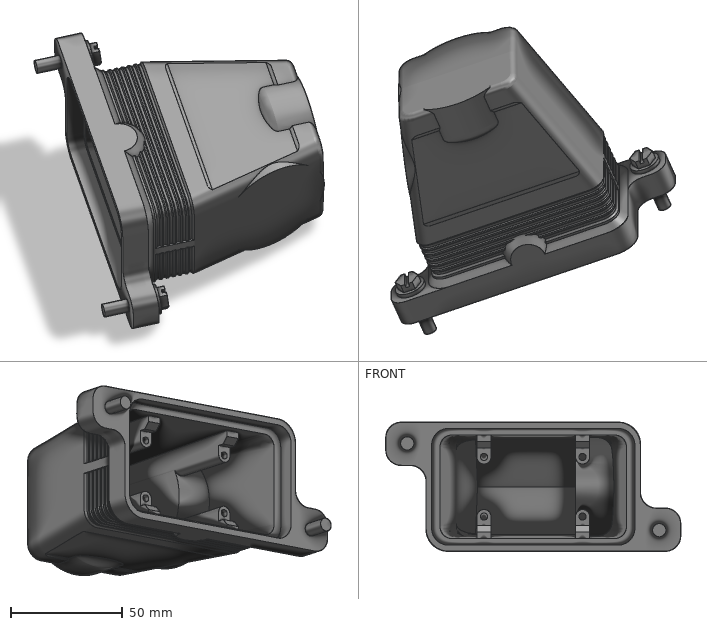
import cadquery as cq
import math


flange_length = 132.5
flange_height = 58.0
flange_body_width = 96.3
flange_depth = 11.9
flange_corner = 10.0
ear_height = 19.5
ear_corner = 7.0

hood_half_width = 45.2
hood_half_height = 26.4
hood_corner = 7.4
neck_end = 15.1
shoulder_y = 34.5
back_y = 99.8
back_half_width = 28.1
back_edge_fillet = 3.0
back_draft = 1.0
side_slope = (hood_half_width - back_half_width) / (back_y - shoulder_y)

panel_start = 43.0
panel_end = 89.0
panel_depth = 0.5
panel_ramp = 1.6

band_start = 16.2
band_end = 34.2
groove_count = 6
groove_floor = 1.2
groove_depth = 0.9
rib_drop = 0.4
grip_gap = 2.3

cable_boss_radius = flange_height / 2
cable_boss_start = 76.8
cable_boss_chamfer = 4.0
cable_boss_blend = 4.2
cable_boss_width = 31.8
side_pad_radius = 25.7
side_pad_y = 73.8
side_pad_inner_x = 19.1

pad_radius = 8.0

mouth_width = 91.3
mouth_height = 52.5
mouth_corner = 7.7
mouth_depth = 7.7
cavity_width = 83.7
cavity_height = 46.5
cavity_corner = 5.4
cavity_end = 92.2
cavity_end_width = 57.8
cavity_end_height = 42.4
cavity_taper_y = 61.0
cavity_taper_half_width = 34.2
cavity_back_draft = 10.0

post_x = 22.1
post_z = 13.4
post_radius = 3.2
post_hole_radius = 1.6
post_hole_depth = 8.0
post_front = 18.7
foot_front = 12.5
foot_top_z = 17.5
foot_chamfer = 2.9

screw_x = 56.6
screw_z = 19.5
shank_diameter = 6.0
shank_length = 11.4
washer_radius = 6.9
washer_thickness = 1.9
head_across_corners = 11.0
head_height = 3.8
slot_width = 1.7
slot_depth = 1.7


def plane_at(y):
    """Sketch plane across the hood at height y; a negative extrusion goes toward +Y."""
    return cq.Workplane("XZ", origin=(0, y, 0))


def rounded_rectangle(width, height, radius):
    return cq.Sketch().rect(width, height).vertices().fillet(radius)


def rounded_block(width, height, radius, start, end):
    return plane_at(start).placeSketch(rounded_rectangle(width, height, radius)).extrude(start - end)


def rounded_loft(first, second, start, end):
    """Loft between two (width, height, radius) rectangles lying across the hood at start and end."""
    offset = cq.Location(cq.Vector(0, 0, start - end))
    return (
        plane_at(start)
        .placeSketch(rounded_rectangle(*first), rounded_rectangle(*second).moved(offset))
        .loft()
    )


def x_prism(points, half_length):
    """Prism along X with a (y, z) outline."""
    return cq.Workplane("YZ").polyline(points).close().extrude(half_length, both=True)


def mirrored_z(shape):
    return shape.union(shape.mirror("XY"))


def make_flange():
    x_ear = flange_length / 2
    x_body = flange_body_width / 2
    z_top = flange_height / 2
    z_ear = z_top - ear_height
    half = [(-x_ear, z_top), (x_body, z_top), (x_body, -z_ear), (x_ear, -z_ear)]
    outline = half + [(-x, -z) for x, z in half]
    flange = plane_at(0).polyline(outline).close().extrude(-flange_depth)

    def is_body_corner(edge):
        center = edge.Center()
        return abs(center.x) < x_ear - 1.3 and abs(center.z) > z_top - 1.3

    flange = flange.edges("|Y").filter(lambda edge: not is_body_corner(edge)).fillet(ear_corner)
    return flange.edges("|Y").filter(is_body_corner).fillet(flange_corner)


def make_hood_prism(half_height):
    """Sharp-edged hood with its side taper and its back face drafted from the split plane."""
    outline = [
        (hood_half_width, flange_depth),
        (hood_half_width, shoulder_y),
        (back_half_width, back_y),
        (-back_half_width, back_y),
        (-hood_half_width, shoulder_y),
        (-hood_half_width, flange_depth),
    ]
    prism = cq.Workplane("XY").polyline(outline).close().extrude(half_height, both=True)
    drop = half_height * math.tan(math.radians(back_draft))
    keep = [
        (0, half_height),
        (back_y - drop, half_height),
        (back_y, 0),
        (back_y - drop, -half_height),
        (0, -half_height),
    ]
    return prism.intersect(x_prism(keep, hood_half_width))


def make_hood():
    hood = make_hood_prism(hood_half_height)

    def is_long_corner(edge):
        center = edge.Center()
        return abs(center.x) > back_half_width and abs(center.z) > hood_half_height - 0.1

    hood = hood.edges().filter(is_long_corner).fillet(hood_corner)

    def is_back_edge(edge):
        center = edge.Center()
        on_ridge = abs(center.x) < 0.1 and abs(center.z) < 0.1
        return center.y > back_y - 1.3 and not on_ridge

    return hood.edges().filter(is_back_edge).fillet(back_edge_fillet)


def make_panel_cut():
    floor_z = hood_half_height - panel_depth
    outline = [
        (panel_start, hood_half_height),
        (panel_start + panel_ramp, floor_z),
        (panel_end - panel_ramp, floor_z),
        (panel_end, hood_half_height),
    ]
    return mirrored_z(x_prism(outline, hood_half_width))


def make_neck():
    corner_growth = flange_body_width / 2 - hood_half_width
    base = (flange_body_width, flange_height, hood_corner + corner_growth)
    top = (2 * hood_half_width, 2 * hood_half_height, hood_corner)
    return rounded_loft(base, top, flange_depth, neck_end)


def make_grip_cut():
    """Zigzag groove profile swept around the upper half of the hood, then mirrored to the lower half."""
    surface_x = hood_half_width
    floor_x = surface_x - groove_depth
    rib_x = surface_x - rib_drop
    flank = groove_depth - rib_drop
    rib_count = groove_count - 1
    used = groove_count * groove_floor + 2 * groove_depth + 2 * rib_count * flank
    rib_top = (band_end - band_start - used) / rib_count
    pitch = groove_floor + 2 * flank + rib_top

    profile = [(surface_x + 1.3, band_start), (surface_x, band_start)]
    for index in range(groove_count):
        floor_start = band_start + groove_depth + index * pitch
        floor_end = floor_start + groove_floor
        profile += [(floor_x, floor_start), (floor_x, floor_end)]
        if index < rib_count:
            profile += [(rib_x, floor_end + flank), (rib_x, floor_end + flank + rib_top)]
    profile += [(surface_x, band_end), (surface_x + 1.3, band_end)]

    straight_x = hood_half_width - hood_corner
    straight_z = hood_half_height - hood_corner
    path = (
        plane_at(0)
        .moveTo(hood_half_width, grip_gap)
        .lineTo(hood_half_width, straight_z)
        .radiusArc((straight_x, hood_half_height), -hood_corner)
        .lineTo(-straight_x, hood_half_height)
        .radiusArc((-hood_half_width, straight_z), -hood_corner)
        .lineTo(-hood_half_width, grip_gap)
    )
    start = cq.Workplane("XY", origin=(0, 0, grip_gap))
    return mirrored_z(start.polyline(profile).close().sweep(path))


def make_cable_boss():
    """Cylinder along Y with a blended chamfer at its front rim."""
    boss = plane_at(cable_boss_start).circle(cable_boss_radius).extrude(cable_boss_start - back_y)
    boss = boss.faces("<Y").edges().chamfer(cable_boss_chamfer)

    def is_chamfer_rim(edge):
        center = edge.Center()
        return edge.geomType() == "CIRCLE" and abs(center.y - cable_boss_start - cable_boss_chamfer) < 0.1

    boss = boss.edges().filter(is_chamfer_rim).fillet(cable_boss_blend)
    boss = boss.intersect(make_hood_prism(cable_boss_radius))
    return boss.intersect(cq.Workplane("XY").box(cable_boss_width, 4 * back_y, flange_height))


def make_side_pad():
    length = hood_half_width - side_pad_inner_x
    pad = (
        cq.Workplane("YZ", origin=(side_pad_inner_x, 0, 0))
        .center(side_pad_y, 0)
        .circle(side_pad_radius)
        .extrude(length)
    )
    return pad.intersect(make_hood_prism(hood_half_height))


def make_flange_pads():
    """Half-round pads above the flange, widening at 45 degrees from the outer face inward."""
    height = 6.6
    pad = cq.Solid.makeCone(
        pad_radius + height,
        pad_radius,
        height,
        cq.Vector(0, flange_depth, flange_height / 2 - height),
    )
    keep = cq.Workplane("XY").box(53, 26.5, flange_height, centered=(True, False, True))
    keep = keep.translate((0, flange_depth, 0))
    return mirrored_z(cq.Workplane(pad).intersect(keep))


def make_cavity():
    """Drafted pocket with rounded corners; its sides tighten behind the taper line."""
    pocket = rounded_loft(
        (cavity_width, cavity_height, cavity_corner),
        (cavity_end_width, cavity_end_height, cavity_corner),
        mouth_depth,
        back_y,
    )
    end_half_width = cavity_taper_half_width - side_slope * (back_y - cavity_taper_y)
    side_limit = [
        (cavity_width / 2, 0),
        (cavity_taper_half_width + side_slope * (cavity_taper_y - mouth_depth), mouth_depth),
        (end_half_width, back_y),
        (-end_half_width, back_y),
        (-cavity_taper_half_width - side_slope * (cavity_taper_y - mouth_depth), mouth_depth),
        (-cavity_width / 2, 0),
    ]
    pocket = pocket.intersect(
        cq.Workplane("XY").polyline(side_limit).close().extrude(cavity_height, both=True)
    )
    rise = cavity_end_height / 2 * math.tan(math.radians(cavity_back_draft))
    edge_z = cavity_height / 2
    back_limit = [(0, edge_z), (cavity_end, edge_z), (cavity_end + rise, 0), (cavity_end, -edge_z), (0, -edge_z)]
    pocket = pocket.intersect(x_prism(back_limit, cavity_width))
    mouth = rounded_block(mouth_width, mouth_height, mouth_corner, 0, mouth_depth)
    return pocket.union(mouth)


def make_post():
    """Upper post at X = 0: rounded rail with a screw hole and a chamfered foot in front."""
    wall_z = cavity_height / 2 + 0.3
    width = 2 * post_radius
    rail = plane_at(post_front).center(0, post_z).circle(post_radius).extrude(post_front - cavity_end - 1.3)
    web = (
        plane_at(post_front)
        .center(0, (post_z + wall_z) / 2)
        .rect(width, wall_z - post_z)
        .extrude(post_front - cavity_end - 1.3)
    )
    foot = x_prism(
        [
            (post_front, wall_z),
            (foot_front, wall_z),
            (foot_front, foot_top_z + foot_chamfer),
            (foot_front + foot_chamfer, foot_top_z),
            (post_front, foot_top_z),
        ],
        post_radius,
    )
    hole = plane_at(post_front).center(0, post_z).circle(post_hole_radius).extrude(-post_hole_depth)
    return rail.union(web).union(foot).cut(hole)


def make_screw():
    """Screw at X = Z = 0 with a slotted hexagon head resting on a washer."""
    washer_top = flange_depth + washer_thickness
    head_top = washer_top + head_height
    shank = plane_at(-shank_length).circle(shank_diameter / 2).extrude(-shank_length - flange_depth)
    washer = plane_at(flange_depth).circle(washer_radius).extrude(-washer_thickness)
    head = plane_at(washer_top).polygon(6, head_across_corners).extrude(-head_height)
    slot = plane_at(head_top).rect(slot_width, 2 * head_across_corners).extrude(slot_depth)
    return shank.union(washer).union(head.cut(slot))


body = make_hood().cut(make_panel_cut()).cut(make_grip_cut())
body = body.union(make_neck()).union(make_flange())
body = body.union(make_flange_pads()).union(make_cable_boss())
body = body.cut(make_cavity()).union(make_side_pad())

posts = mirrored_z(make_post())
for x in (-post_x, post_x):
    body = body.union(posts.translate((x, 0, 0)))

screw = make_screw()
for side in (-1, 1):
    body = body.union(screw.translate((side * screw_x, 0, -side * screw_z)))

result = body